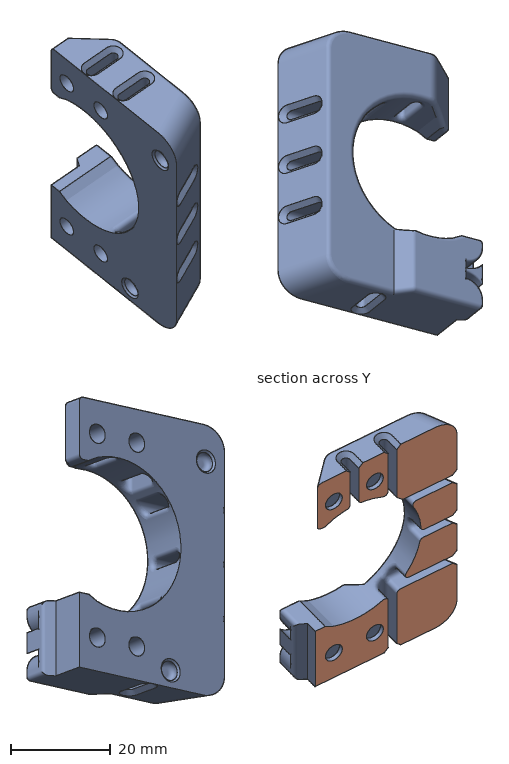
import cadquery as cq
import math

TOP_Z = 27.06
HEIGHT = 56.8
BOTTOM_Z = TOP_Z - HEIGHT
MID_Z = TOP_Z - HEIGHT / 2
LEFT_X = -9.83
RIGHT_X = 27.13
DEPTH = 11.54
LEAN_PER_DEPTH = math.tan(math.radians(24))
LEFT_WALL_DEPTH = 4.55
CORNER_RADIUS = 5.0
SLOPE_CREST_RADIUS = 3.0
EDGE_RADIUS = 1.0
CLEARANCE = 1.0
TOLERANCE = 0.01
EDGE_CHECK_PLACES = (0, 0.3, 0.6, 1)

BORE_RADIUS = 16.0
MOUTH_HALF_HEIGHT = 14.0
MOUTH_FLAT_END_X = -7.4
MOUTH_BLEND_END_X = -5.3

LIP_LEFT_X = -12.08
LIP_DEPTH = 14.54
LIP_BEVEL_Y = 7.7
LIP_BEVEL_ANGLE = 30
LIP_BEVEL_END_Y = LIP_BEVEL_Y + (LEFT_X - LIP_LEFT_X) * math.tan(math.radians(LIP_BEVEL_ANGLE))
LIP_BACK_RADIUS = 0.4
LIP_SLOPE_FOOT_X = 6.85
LIP_SLOPE_TOP_X = LIP_SLOPE_FOOT_X - (LIP_DEPTH - DEPTH)

SLOT_WIDTH = 2.0
SLOT_LENGTH = 8.0
SLOT_FLARE = 1.0
SLOT_CENTER_Y = 5.05
SLOT_X = 9.08
TOP_ONLY_SLOT_X = -0.2
SIDE_SLOT_PITCH = 11.4

PIN_DIAMETER = 4.0
PIN_DEPTH = 6.0
PIN_XS = (-5.24, 4.78)
PIN_ZS = (20.05, -22.7)
POCKET_DIAMETER = 4.0
POCKET_DEPTH = 2.0
POCKET_FLOOR_RADIUS = 1.0
POCKET_RIM_CHAMFER = 0.42
POCKET_CENTERS = ((22.35, 19.35), (13.4, -26.1))

CHANNEL_INNER_RADIUS = 4.0
CHANNEL_WIDTH = 1.45
CHANNEL_FLOOR_Y = 10.54
CHANNEL_MID_Z = -21.75
CHANNEL_CENTER_OFFSET = 5.9


def near(value, target):
    return abs(value - target) < TOLERANCE


def prism(points, z_low, z_high):
    """Extrude an XY outline between two heights."""
    return cq.Workplane("XY").workplane(offset=z_low).polyline(points).close().extrude(z_high - z_low)


def make_plate():
    """Plate with a sloped back left side and a leaning right wall."""
    slope = DEPTH - LEFT_WALL_DEPTH
    lean = DEPTH * LEAN_PER_DEPTH
    outline = [
        (LEFT_X, 0),
        (RIGHT_X, 0),
        (RIGHT_X - lean, DEPTH),
        (LEFT_X + slope, DEPTH),
        (LEFT_X, LEFT_WALL_DEPTH),
    ]
    plate = prism(outline, BOTTOM_Z, TOP_Z)
    plate = plate.faces(">X").edges("<Z or >Z").fillet(CORNER_RADIUS)
    slope_crest = cq.selectors.NearestToPointSelector((LEFT_X + slope, DEPTH, MID_Z))
    return plate.edges("|Z").edges(slope_crest).fillet(SLOPE_CREST_RADIUS)


def make_lip():
    """Raised lip on the lower arm, overhanging to the left above a bevel."""
    outline = [
        (LEFT_X, 0),
        (LIP_SLOPE_FOOT_X, 0),
        (LIP_SLOPE_FOOT_X, DEPTH),
        (LIP_SLOPE_TOP_X, LIP_DEPTH),
        (LIP_LEFT_X, LIP_DEPTH),
        (LIP_LEFT_X, LIP_BEVEL_END_Y),
        (LEFT_X, LIP_BEVEL_Y),
    ]
    return prism(outline, BOTTOM_Z, 0)


def make_bore():
    """Bore that opens to the left through a parallel mouth."""
    blend_z = math.sqrt(BORE_RADIUS**2 - MOUTH_BLEND_END_X**2)
    open_x = LIP_LEFT_X - CLEARANCE
    return (
        cq.Workplane("XZ", origin=(0, -CLEARANCE, 0))
        .moveTo(open_x, MOUTH_HALF_HEIGHT)
        .lineTo(MOUTH_FLAT_END_X, MOUTH_HALF_HEIGHT)
        .lineTo(MOUTH_BLEND_END_X, blend_z)
        .threePointArc((BORE_RADIUS, 0), (MOUTH_BLEND_END_X, -blend_z))
        .lineTo(MOUTH_FLAT_END_X, -MOUTH_HALF_HEIGHT)
        .lineTo(open_x, -MOUTH_HALF_HEIGHT)
        .close()
        .extrude(-LIP_DEPTH - 2 * CLEARANCE)
    )


def is_rounded_edge(edge):
    """Tell whether an edge of the bare body gets the general rounding."""
    box = edge.BoundingBox()
    if box.ymin < TOLERANCE:
        return box.zmin > 0 and near(box.xmax, LEFT_X) and box.ymax > TOLERANCE
    if box.xlen < TOLERANCE and box.ylen < TOLERANCE:
        on_bevel_edge = near(box.xmax, LIP_LEFT_X) and near(box.ymax, LIP_BEVEL_END_Y)
        on_lip_slope = near(box.xmax, LIP_SLOPE_TOP_X)
        on_right_wall = near(box.xmax, RIGHT_X - DEPTH * LEAN_PER_DEPTH)
        return on_bevel_edge or on_lip_slope or on_right_wall
    is_bevel_end = box.zmax < 0 and near(box.ymax, LIP_BEVEL_END_Y)
    return not is_bevel_end


def round_edges(body):
    edges = [edge for edge in body.edges().vals() if is_rounded_edge(edge)]
    return cq.Workplane(body.val().fillet(EDGE_RADIUS, edges))


def upright_slot(x, z_low, z_high):
    slot = cq.Workplane("XY", origin=(x, SLOT_CENTER_Y, z_low))
    return slot.slot2D(SLOT_LENGTH, SLOT_WIDTH, 90).extrude(z_high - z_low)


def side_slot(z):
    slot = cq.Workplane("YZ", origin=(0, SLOT_CENTER_Y, z))
    return slot.slot2D(SLOT_LENGTH, SLOT_WIDTH).extrude(RIGHT_X + CLEARANCE)


def cut_slots(body):
    body = body.cut(upright_slot(SLOT_X, BOTTOM_Z - CLEARANCE, TOP_Z + CLEARANCE))
    body = body.cut(upright_slot(TOP_ONLY_SLOT_X, 0, TOP_Z + CLEARANCE))
    for step in (-1, 0, 1):
        body = body.cut(side_slot(MID_Z + step * SIDE_SLOT_PITCH))
    return body


def in_slot_span(edge):
    box = edge.BoundingBox()
    half_span = SLOT_LENGTH / 2 + TOLERANCE
    return (
        box.xmin > TOP_ONLY_SLOT_X - SLOT_WIDTH
        and box.ymin > SLOT_CENTER_Y - half_span
        and box.ymax < SLOT_CENTER_Y + half_span
    )


def lies_on(edge, surface_gap):
    """Check a few points of the edge against a distance-to-surface function."""
    return all(abs(surface_gap(edge.positionAt(place))) < TOLERANCE for place in EDGE_CHECK_PLACES)


def is_slot_mouth(edge):
    """Slot opening in the top, bottom or right wall."""
    return (
        lies_on(edge, lambda p: p.z - TOP_Z)
        or lies_on(edge, lambda p: p.z - BOTTOM_Z)
        or lies_on(edge, lambda p: p.x - RIGHT_X + p.y * LEAN_PER_DEPTH)
    )


def is_bore_opening(edge):
    return lies_on(edge, lambda p: math.hypot(p.x, p.z) - BORE_RADIUS)


def is_slot_crossing(edge):
    """Ridge where the lowest side slot runs into the upright slot."""
    box = edge.BoundingBox()
    upright_slot_side = SLOT_X + SLOT_WIDTH / 2
    side_slot_floor = MID_Z - SIDE_SLOT_PITCH - SLOT_WIDTH / 2
    return near(box.xmax, upright_slot_side) and near(box.zmin, side_slot_floor)


def ease_slots(body):
    """Chamfer the outer slot mouths and round their openings and crossing ridge inside."""
    edges = [edge for edge in body.edges().vals() if in_slot_span(edge)]
    mouths = [edge for edge in edges if is_slot_mouth(edge)]
    body = body.val().chamfer(SLOT_FLARE, None, mouths)
    edges = [edge for edge in body.Edges() if in_slot_span(edge)]
    inner = [edge for edge in edges if is_bore_opening(edge) or is_slot_crossing(edge)]
    return cq.Workplane(body.fillet(SLOT_FLARE, inner))


def front_cylinder(x, z, diameter, depth):
    """Cylinder that reaches from the front face into the part."""
    return cq.Workplane("XZ", origin=(x, 0, z)).circle(diameter / 2).extrude(-depth)


def cut_pin_holes(body):
    for x in PIN_XS:
        for z in PIN_ZS:
            body = body.cut(front_cylinder(x, z, PIN_DIAMETER, PIN_DEPTH))
    return body


def cut_pockets(body):
    """Shallow round pockets with a rounded floor and a chamfered rim."""
    for x, z in POCKET_CENTERS:
        pocket = front_cylinder(x, z, POCKET_DIAMETER, POCKET_DEPTH)
        body = body.cut(pocket.faces(">Y").edges().fillet(POCKET_FLOOR_RADIUS))
        rim_center = cq.selectors.NearestToPointSelector((x, 0, z))
        body = body.faces("<Y").edges("%CIRCLE").edges(rim_center).chamfer(POCKET_RIM_CHAMFER)
    return body


def channel(side):
    """Quarter-ring channel; side is 1 for the upper one and -1 for the lower one."""
    center_x = LIP_LEFT_X + CHANNEL_INNER_RADIUS
    center_z = CHANNEL_MID_Z + side * CHANNEL_CENTER_OFFSET
    length = LIP_DEPTH - CHANNEL_FLOOR_Y
    outer = CHANNEL_INNER_RADIUS + CHANNEL_WIDTH
    ring = (
        cq.Workplane("XZ", origin=(center_x, CHANNEL_FLOOR_Y, center_z))
        .circle(outer)
        .circle(CHANNEL_INNER_RADIUS)
        .extrude(-length)
    )
    quarter = (
        cq.Workplane("XZ", origin=(center_x, CHANNEL_FLOOR_Y, center_z))
        .rect(-outer, -side * outer, centered=False)
        .extrude(-length)
    )
    return ring.intersect(quarter)


def is_lip_back_edge(edge):
    """Left edge of the lip's back face, or a channel arc that meets it."""
    box = edge.BoundingBox()
    return near(box.xmin, LIP_LEFT_X) and (near(box.xmax, LIP_LEFT_X) or edge.geomType() == "CIRCLE")


def cut_channels(body):
    """Cut both channels, then round the left back edge of the lip along with their curved walls."""
    for side in (1, -1):
        body = body.cut(channel(side))
    back_edges = body.faces(">Y").edges().vals()
    rounded = [edge for edge in back_edges if is_lip_back_edge(edge)]
    return cq.Workplane(body.val().fillet(LIP_BACK_RADIUS, rounded))


body = make_plate().union(make_lip()).cut(make_bore())
body = round_edges(body)
body = cut_slots(body)
body = ease_slots(body)
body = cut_pin_holes(body)
body = cut_pockets(body)
result = cut_channels(body).solids()